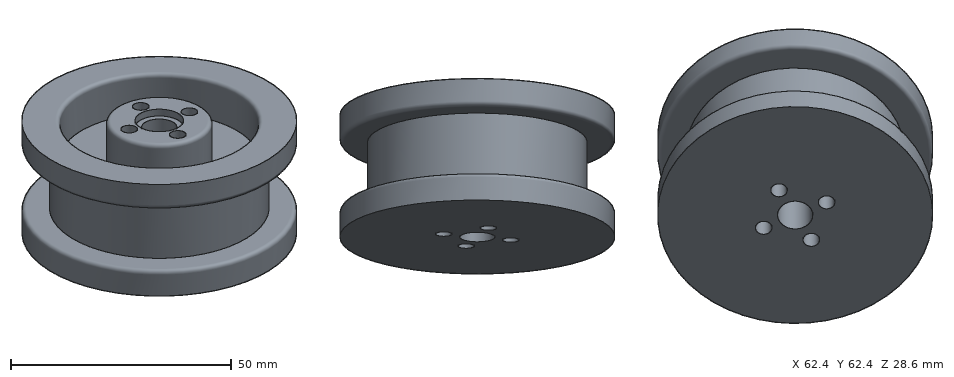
import cadquery as cq

flange_diameter = 62.35
width = 28.6
flange_thickness = 6.4
drum_diameter = 49.9
edge_radius = 1.0

recess_diameter = 45.0
recess_depth = 10.0
hub_diameter = 24.0

bore_diameter = 8.0
counterbore_diameter = 11.0
counterbore_depth = 1.75
bolt_hole_diameter = 3.75
bolt_circle_diameter = 16.0
bolt_hole_count = 4


def flange(base_z, rounded_edge):
    """Disc whose edge facing the drum is rounded."""
    disc = cq.Workplane("XY").workplane(offset=base_z).circle(flange_diameter / 2)
    return disc.extrude(flange_thickness).edges(rounded_edge).fillet(edge_radius)


def wheel_blank():
    """Drum between two flanges, with its base on Z = 0."""
    drum = cq.Workplane("XY").circle(drum_diameter / 2).extrude(width)
    lower_flange = flange(0, ">Z")
    upper_flange = flange(width - flange_thickness, "<Z")
    return drum.union(lower_flange).union(upper_flange)


def cut_recess(body):
    """Ring-shaped recess in the top that leaves the hub flush with the rim."""
    top = body.faces(">Z").workplane(origin=(0, 0, width))
    body = top.circle(recess_diameter / 2).circle(hub_diameter / 2).cutBlind(-recess_depth)
    hub_rim = body.faces(">Z").edges(cq.selectors.RadiusNthSelector(0))
    recess_rim = body.faces(">Z").edges(cq.selectors.RadiusNthSelector(1))
    return hub_rim.add(recess_rim).fillet(edge_radius)


def cut_hub_holes(body):
    """Counterbored axle bore and a ring of bolt holes, all through the hub."""
    top = cq.Workplane("XY").workplane(offset=width)
    bore = top.circle(bore_diameter / 2).extrude(-width)
    counterbore = top.circle(counterbore_diameter / 2).extrude(-counterbore_depth)
    bolt_holes = (
        top.polarArray(bolt_circle_diameter / 2, 0, 360, bolt_hole_count)
        .circle(bolt_hole_diameter / 2)
        .extrude(-width)
    )
    return body.cut(bore).cut(counterbore).cut(bolt_holes)


result = cut_hub_holes(cut_recess(wheel_blank()))